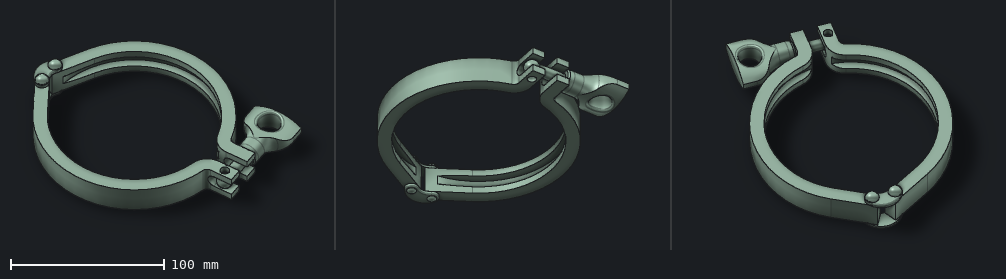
import cadquery as cq
import math

ring_radius = 66.4
wall = 9.5
height = 19.0
inner_radius = ring_radius - wall
middle_radius = ring_radius - wall / 2

lug_gap = 9.5
lug_end = 84.3
lug_inner_y = lug_gap / 2
lug_outer_y = lug_inner_y + wall
lug_bend_inside = 4.0
lug_bend_outside = lug_bend_inside + wall
bolt_x = 76.1
slot_width = 8.9
slot_end = 66.2

groove_depth = 4.5
groove_mouth = 8.9
groove_floor = 6.5
groove_overrun = 1.7

arm_angle = 30
rivet_reach = 26.4
plate_thickness = 2.5
plate_edge_fillet = 0.9
plate_left = -75.8
plate_waist = -64.5
rivet_head_radius = 4.8
rivet_head_height = 3.7
rivet_tail_radius = 3.2
rivet_tail_height = 1.5

bolt_radius = 4.1
eye_radius = 5.5
eye_y = -(lug_inner_y + wall / 2)
pin_hole_radius = 3.0

neck_radius = 8.0
nut_foot_radius = 6.8
nut_taper_radius = 7.7
nut_taper_y = 15.7
neck_bottom_y = 18.9
neck_top_y = 26.0
wing_radius = 18.4
wing_side_y = 45.3
wing_top_y = 54.8
flare_radius = 12.8
wing_face_radius = 32.4
wing_hole_radius = 7.8
wing_hole_y = 44.3
wing_hole_fillet = 1.5
bolt_end_y = neck_top_y


def polar(radius, degrees, center=(0, 0)):
    """Point at the given distance and direction from a centre."""
    angle = math.radians(degrees)
    return (center[0] + radius * math.cos(angle), center[1] + radius * math.sin(angle))


def direction(start, end):
    """Angle in degrees, from the first axis, of the line from start to end."""
    return math.degrees(math.atan2(end[1] - start[1], end[0] - start[0]))


arm_out = polar(1, 180 - arm_angle)
arm_along = polar(1, 270 - arm_angle)


def arm_point(across, along):
    """Point of the upper arm: distance from the ring centre square to the arm, then along it."""
    return (
        across * arm_out[0] + along * arm_along[0],
        across * arm_out[1] + along * arm_along[1],
    )


rivet_x, rivet_y = arm_point(middle_radius, rivet_reach)


def make_jaw():
    """Upper jaw: a lug, a bend, the ring and a straight arm, all of the same thickness."""
    bend_y = lug_outer_y + lug_bend_inside
    bend_distance = ring_radius + lug_bend_inside
    bend_x = math.sqrt(bend_distance**2 - bend_y**2)
    bend = (bend_x, bend_y)
    bend_angle = direction((0, 0), bend)
    bend_middle = (180 + bend_angle + 270) / 2
    ring_end = 180 - arm_angle
    ring_middle = (bend_angle + ring_end) / 2
    arm_length = rivet_reach + wall / 2
    return (
        cq.Workplane("XY")
        .workplane(offset=-height / 2)
        .moveTo(lug_end, lug_outer_y)
        .lineTo(bend_x, lug_outer_y)
        .threePointArc(polar(lug_bend_inside, bend_middle, bend), polar(ring_radius, bend_angle))
        .threePointArc(polar(ring_radius, ring_middle), polar(ring_radius, ring_end))
        .lineTo(*arm_point(ring_radius, arm_length))
        .lineTo(*arm_point(inner_radius, arm_length))
        .lineTo(*polar(inner_radius, ring_end))
        .threePointArc(polar(inner_radius, ring_middle), polar(inner_radius, bend_angle))
        .threePointArc(polar(lug_bend_outside, bend_middle, bend), (bend_x, lug_inner_y))
        .lineTo(lug_end, lug_inner_y)
        .close()
        .extrude(height)
    )


def make_flange_groove():
    """Ring-shaped cutter that narrows outward and starts inside the bore."""
    groove_radius = inner_radius + groove_depth
    slope = (groove_mouth - groove_floor) / 2 / groove_depth
    start_radius = inner_radius - groove_overrun
    start = groove_mouth / 2 + slope * groove_overrun
    floor = groove_floor / 2
    return (
        cq.Workplane("XZ")
        .moveTo(start_radius, -start)
        .lineTo(groove_radius, -floor)
        .lineTo(groove_radius, floor)
        .lineTo(start_radius, start)
        .close()
        .revolve(360, (0, 0, 0), (0, 1, 0))
    )


def make_lug_slot():
    """Round-ended slot through both lugs, open at their tips."""
    slot_center = slot_end + slot_width / 2
    half = slot_width / 2
    return (
        cq.Workplane("XZ")
        .moveTo(lug_end, half)
        .lineTo(slot_center, half)
        .threePointArc((slot_end, 0), (slot_center, -half))
        .lineTo(lug_end, -half)
        .close()
        .extrude(lug_outer_y + lug_bend_inside, both=True)
    )


def tangent_arc_radius(apex_offset, end_radius):
    """Radius of an arc centred on the X axis that touches the round ends of a plate.

    apex_offset runs along X from the rivets to the apex of the arc. end_radius is positive
    where the arc encloses the round ends and negative where it passes between them.
    """
    return (apex_offset**2 + rivet_y**2 - end_radius**2) / (-2 * (apex_offset + end_radius))


def make_hinge_plate():
    """Plate lying on Z = 0: two round ends joined by tangent outer and inner arcs."""
    end_radius = wall / 2
    outer_radius = tangent_arc_radius(plate_left - rivet_x, end_radius)
    waist_radius = tangent_arc_radius(plate_waist - rivet_x, -end_radius)
    outer_center = (plate_left + outer_radius, 0)
    waist_center = (plate_waist + waist_radius, 0)
    outer_angle = direction(outer_center, (rivet_x, rivet_y))
    waist_angle = direction(waist_center, (rivet_x, rivet_y))
    outer_top = polar(outer_radius, outer_angle, outer_center)
    outer_bottom = polar(outer_radius, -outer_angle, outer_center)
    waist_top = polar(waist_radius, waist_angle, waist_center)
    waist_bottom = polar(waist_radius, -waist_angle, waist_center)
    return (
        cq.Workplane("XY")
        .moveTo(*outer_top)
        .threePointArc((plate_left, 0), outer_bottom)
        .threePointArc((rivet_x, -rivet_y - end_radius), waist_bottom)
        .threePointArc((plate_waist, 0), waist_top)
        .threePointArc((rivet_x, rivet_y + end_radius), outer_top)
        .close()
        .extrude(plate_thickness)
        .faces(">Z")
        .edges()
        .fillet(plate_edge_fillet)
    )


def make_dome(radius, dome_height):
    """Spherical cap standing on Z = 0 around the Z axis."""
    sphere_radius = (radius**2 + dome_height**2) / (2 * dome_height)
    sphere_center = (0, dome_height - sphere_radius)
    rim_angle = direction(sphere_center, (radius, 0))
    middle = polar(sphere_radius, (rim_angle + 90) / 2, sphere_center)
    return (
        cq.Workplane("XZ")
        .moveTo(0, 0)
        .lineTo(radius, 0)
        .threePointArc(middle, (0, dome_height))
        .close()
        .revolve(360, (0, 0, 0), (0, 1, 0))
    )


def make_pin_hole():
    """Hole along Z through the lower lug and the eye of the bolt."""
    return cq.Workplane("XY").center(bolt_x, eye_y).circle(pin_hole_radius).extrude(height, both=True)


def make_clamp():
    """Both jaws with the two riveted hinge plates, as one body."""
    upper_jaw = make_jaw()
    jaws = upper_jaw.union(upper_jaw.mirror("XZ"))
    jaws = jaws.cut(make_flange_groove()).cut(make_lug_slot())
    body = jaws.cut(make_pin_hole())

    upper_plate = make_hinge_plate().translate((0, 0, height / 2))
    body = body.union(upper_plate).union(upper_plate.mirror("XY"))
    plate_face = height / 2 + plate_thickness
    head = make_dome(rivet_head_radius, rivet_head_height)
    tail = make_dome(rivet_tail_radius, rivet_tail_height).mirror("XY")
    for y in (-rivet_y, rivet_y):
        body = body.union(head.translate((rivet_x, y, plate_face)))
        body = body.union(tail.translate((rivet_x, y, -plate_face)))
    return body


def make_bolt():
    """Shank along Y with a ball eye, flattened to the shank width, in the lower lug."""
    shank = cq.Workplane("XZ", origin=(bolt_x, eye_y, 0)).circle(bolt_radius).extrude(eye_y - bolt_end_y)
    flats = cq.Workplane("XY").box(2 * eye_radius, 2 * eye_radius, 2 * bolt_radius)
    eye = cq.Workplane("XY").sphere(eye_radius).intersect(flats).translate((bolt_x, eye_y, 0))
    return shank.union(eye).cut(make_pin_hole())


def make_nut():
    """Turned neck and wings, cut to bulging faces above and below, with a cross hole and bolt bore."""
    flare_share = (flare_radius - neck_radius) / (wing_radius - neck_radius)
    flare_y = neck_top_y + flare_share * (wing_side_y - neck_top_y)
    turned = (
        cq.Workplane("XY")
        .moveTo(0, lug_outer_y)
        .lineTo(nut_foot_radius, lug_outer_y)
        .lineTo(nut_taper_radius, nut_taper_y)
        .lineTo(neck_radius, neck_bottom_y)
        .lineTo(neck_radius, neck_top_y)
        .tangentArcPoint((flare_radius, flare_y), relative=False)
        .tangentArcPoint((wing_radius, wing_side_y), relative=False)
        .lineTo(wing_radius, wing_top_y)
        .lineTo(0, wing_top_y)
        .close()
        .revolve(360, (0, 0, 0), (0, 1, 0))
    )
    side_drop = wing_face_radius - math.sqrt(wing_face_radius**2 - wing_radius**2)
    side_z = neck_radius - side_drop
    lens = (
        cq.Workplane("XZ")
        .moveTo(-wing_radius, side_z)
        .threePointArc((0, neck_radius), (wing_radius, side_z))
        .lineTo(wing_radius, -side_z)
        .threePointArc((0, -neck_radius), (-wing_radius, -side_z))
        .close()
        .extrude(-wing_top_y)
    )
    nut = turned.intersect(lens)
    hole = cq.Workplane("XY").center(0, wing_hole_y).circle(wing_hole_radius).extrude(neck_radius, both=True)
    nut = nut.cut(hole)
    near_axis = wing_hole_radius / 2
    rims = cq.selectors.BoxSelector(
        (-near_axis, wing_hole_y - near_axis, -neck_radius),
        (near_axis, wing_hole_y + near_axis, neck_radius),
    )
    nut = nut.edges(rims).fillet(wing_hole_fillet)
    return nut.translate((bolt_x, 0, 0)).cut(make_bolt())


clamp = make_clamp()
bolt = make_bolt()
nut = make_nut()
result = cq.Compound.makeCompound([clamp.val(), bolt.val(), nut.val()])